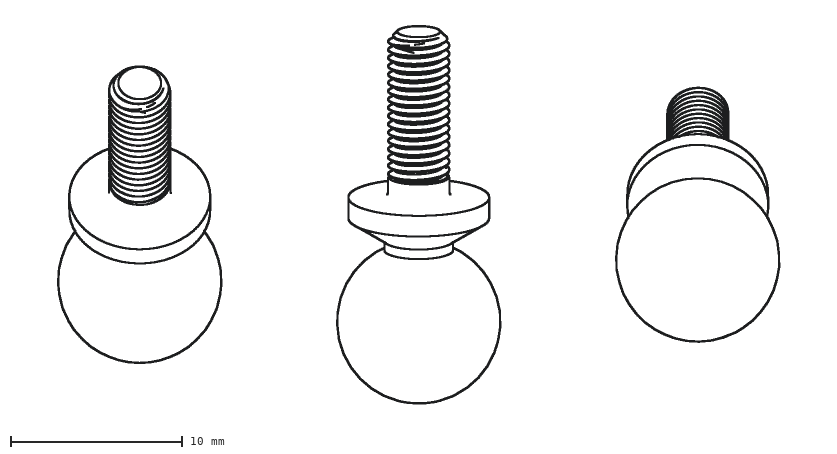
import cadquery as cq
import math

total_height = 22.25
ball_radius = 9.52 / 2
neck_radius = 4.0 / 2

flange_radius = 8.2 / 2
stud_length = 10.0
flange_thickness = 1.25
cone_height = 1.35

shank_radius = 3.6 / 2
shank_height = 1.25
shank_taper_height = 0.18
shank_taper_depth = 0.05
shank_fillet = 0.27

thread_radius = 3.55 / 2
pitches_per_stud = 20
thread_pitch = stud_length / pitches_per_stud
root_radius = 2.8 / 2
crest_flat = 0.02
ridge_overlap = 0.02
flank_half_angle = math.radians(30)
envelope_clearance = 0.22
end_turns = 2
core_excess = 3 * thread_pitch
tip_radius = 2.5 / 2
first_crest_depth = 0.45

flange_top = total_height - stud_length
flange_bottom = flange_top - flange_thickness
neck_top = flange_bottom - cone_height
neck_bottom = ball_radius + math.sqrt(ball_radius**2 - neck_radius**2)
shank_top = flange_top + shank_height


def make_body():
    """Ball, neck, flange and plain shank as one revolved outline."""
    fillet_middle_offset = shank_fillet * (1 - math.sqrt(0.5))
    return (
        cq.Workplane("XZ")
        .moveTo(0, 0)
        .threePointArc((ball_radius, ball_radius), (neck_radius, neck_bottom))
        .lineTo(neck_radius, neck_top)
        .lineTo(flange_radius, flange_bottom)
        .lineTo(flange_radius, flange_top)
        .lineTo(shank_radius + shank_fillet, flange_top)
        .threePointArc(
            (shank_radius + fillet_middle_offset, flange_top + fillet_middle_offset),
            (shank_radius, flange_top + shank_fillet),
        )
        .lineTo(shank_radius, shank_top - shank_taper_height)
        .lineTo(shank_radius - shank_taper_depth, shank_top)
        .lineTo(0, shank_top)
        .close()
        .revolve(360, (0, 0, 0), (0, 1, 0))
    )


def make_thread_ridge():
    """Helical V ridge that runs past both ends of the threaded length."""
    first_crest = total_height - first_crest_depth
    turns_below = math.ceil((first_crest - shank_top) / thread_pitch)
    start_height = first_crest - turns_below * thread_pitch
    helix_height = (turns_below + end_turns) * thread_pitch

    base_radius = root_radius - ridge_overlap
    tip_half_width = crest_flat / 2
    base_half_width = tip_half_width + (thread_radius - base_radius) * math.tan(flank_half_angle)

    path = cq.Wire.makeHelix(thread_pitch, helix_height, root_radius, cq.Vector(0, 0, start_height))
    return (
        cq.Workplane("XZ")
        .moveTo(base_radius, start_height - base_half_width)
        .lineTo(thread_radius, start_height - tip_half_width)
        .lineTo(thread_radius, start_height + tip_half_width)
        .lineTo(base_radius, start_height + base_half_width)
        .close()
        .sweep(cq.Workplane(obj=path), isFrenet=True)
    )


def make_thread_envelope():
    """Space the thread may fill: flat at the bottom, with a 45 degree cone at the tip."""
    envelope_radius = thread_radius + envelope_clearance
    cone_base = total_height - (envelope_radius - tip_radius)
    return (
        cq.Workplane("XZ")
        .moveTo(0, shank_top)
        .lineTo(envelope_radius, shank_top)
        .lineTo(envelope_radius, cone_base)
        .lineTo(tip_radius, total_height)
        .lineTo(0, total_height)
        .close()
        .revolve(360, (0, 0, 0), (0, 1, 0))
    )


def make_threaded_rod():
    """Root cylinder with the helical ridge, trimmed to the threaded length."""
    core = (
        cq.Workplane("XY")
        .workplane(offset=flange_top)
        .circle(root_radius)
        .extrude(stud_length + core_excess)
    )
    return core.union(make_thread_ridge()).intersect(make_thread_envelope())


result = make_body().union(make_threaded_rod())